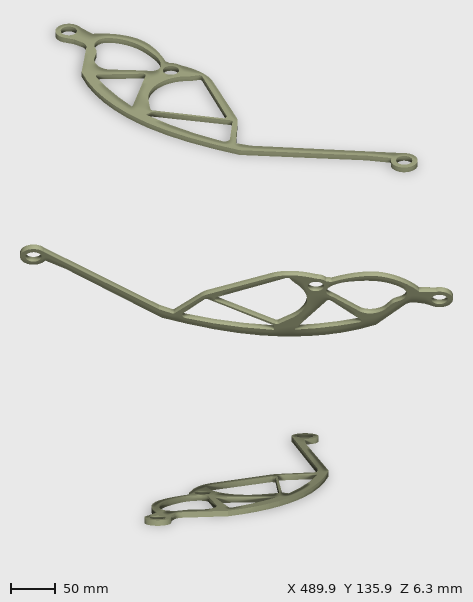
import cadquery as cq

thickness = 6.3
hole_diameter = 18.0
boss_radius = 15.0
boss_span = 459.94
middle_hole_x = 140.0
hole_centres = [(0, 0), (middle_hole_x, 0), (boss_span, 0)]

neck_radius = 12.0
crotch_radius = 2.0
shoulder_radius = 25.0
sharp_pocket_radius = 0.8
small_pocket_radius = 3.0
large_pocket_radius = 6.0

neck_bottom_start = (5.5, -13.9)
neck_bottom = (15.0, -10.9)
throat = (32.5, -10.5)
heel = (61.0, -60.7)
arm_elbow = (298.6, -89.9)
arm_bottom_end = (420.4, -16.5)
arm_tip = (444.0, -5.4)
arm_top_end = (452.5, 12.7)
arm_root = (304.0, -74.6)
crotch = (286.8, -80.5)
shoulder = (259.8, -39.2)
back_start = (189.4, 9.9)
saddle_right = (131.0, 11.6)
saddle_left = (124.5, 11.6)
neck_top = (25.0, 10.5)
neck_top_start = (6.5, 13.5)

belly_points = [(111.2, -89.2), (186.0, -103.95), (241.0, -101.0)]
back_points = [(179.1, 14.3), (158.0, 16.8), (142.0, 14.8)]
crown_points = [(103.8, 23.9), (75.0, 31.77), (52.1, 27.4)]


def bottom_plane():
    """Workplane on the underside of the plate."""
    return cq.Workplane("XY", origin=(0, 0, -thickness / 2))


def prism(outline):
    """Extrude a closed outline drawn on the bottom plane through the plate."""
    return outline.close().extrude(thickness)


def discs(centres, radius):
    """Full-thickness cylinders at the given centres."""
    return bottom_plane().pushPoints(centres).circle(radius).extrude(thickness)


def round_corner(solid, corner, radius):
    """Fillet the upright edge nearest to a corner of the outline."""
    edge = cq.selectors.NearestToPointSelector((corner[0], corner[1], 0))
    return solid.edges("|Z").edges(edge).fillet(radius)


def plate():
    """Solid body with its three bearing bosses, before any opening is cut."""
    outline = (
        bottom_plane()
        .polyline([(0, 0), neck_bottom_start, neck_bottom, throat, heel])
        .spline(belly_points + [arm_elbow], includeCurrent=True)
        .lineTo(*arm_bottom_end)
        .lineTo(*arm_tip)
        .lineTo(boss_span, 0)
        .lineTo(*arm_top_end)
        .lineTo(*arm_root)
        .lineTo(*crotch)
        .lineTo(*shoulder)
        .lineTo(*back_start)
        .spline(back_points, includeCurrent=True)
        .lineTo(*saddle_right)
        .lineTo(*saddle_left)
        .spline(crown_points + [neck_top], includeCurrent=True)
        .lineTo(*neck_top_start)
    )
    body = prism(outline)
    for corner, radius in [(throat, neck_radius), (crotch, crotch_radius), (shoulder, shoulder_radius)]:
        body = round_corner(body, corner, radius)
    return body.union(discs(hole_centres, boss_radius))


def head_pocket():
    """Smooth rounded opening under the crown."""
    brace_low = (83.0, -38.8)
    brace_high = (117.1, -16.9)
    rim = [
        (127.2, -4.4), (121.5, 5.8), (100.8, 17.3), (75.0, 22.3), (53.0, 18.3),
        (39.0, 7.5), (40.3, -7.4), (48.8, -15.2), (57.0, -31.0), (66.0, -38.7), brace_low,
    ]
    return prism(bottom_plane().moveTo(*brace_low).lineTo(*brace_high).spline(rim, includeCurrent=True))


def triangle_pocket():
    """Opening between the brace, the web and the heel side of the belly."""
    left = (75.7, -57.0)
    top = (121.8, -21.4)
    right = (149.0, -86.4)
    lower_edge_middle = (109.7, -73.4)
    pocket = prism(
        bottom_plane().moveTo(*left).lineTo(*top).lineTo(*right).threePointArc(lower_edge_middle, left)
    )
    for corner in [left, top]:
        pocket = round_corner(pocket, corner, small_pocket_radius)
    return round_corner(pocket, right, sharp_pocket_radius)


def main_pocket():
    """Large opening between the curved web, the back and the thin rib."""
    top = (173.2, 11.9)
    web_top = (164.9, 2.7)
    web_middle = (144.4, -34.0)
    web_bottom = (157.2, -66.5)
    bottom = (169.6, -80.2)
    rib_end = (246.2, -46.4)
    right = (247.0, -41.6)
    pocket = prism(
        bottom_plane()
        .polyline([web_bottom, bottom, rib_end, right, top, web_top])
        .threePointArc(web_middle, web_bottom)
    )
    for corner in [top, bottom, right]:
        pocket = round_corner(pocket, corner, small_pocket_radius)
    return pocket


def belly_pocket():
    """Opening between the thin rib and the belly."""
    left = (170.8, -90.8)
    rib_start = (172.8, -82.2)
    top = (256.5, -44.5)
    right = (280.6, -84.3)
    lower_edge_middle = (218.0, -91.9)
    pocket = prism(
        bottom_plane().polyline([left, rib_start, top, right]).threePointArc(lower_edge_middle, left)
    )
    pocket = round_corner(pocket, left, sharp_pocket_radius)
    for corner in [rib_start, top]:
        pocket = round_corner(pocket, corner, small_pocket_radius)
    return round_corner(pocket, right, large_pocket_radius)


result = plate()
for pocket in [head_pocket(), triangle_pocket(), main_pocket(), belly_pocket()]:
    result = result.cut(pocket)
result = result.cut(discs(hole_centres, hole_diameter / 2))